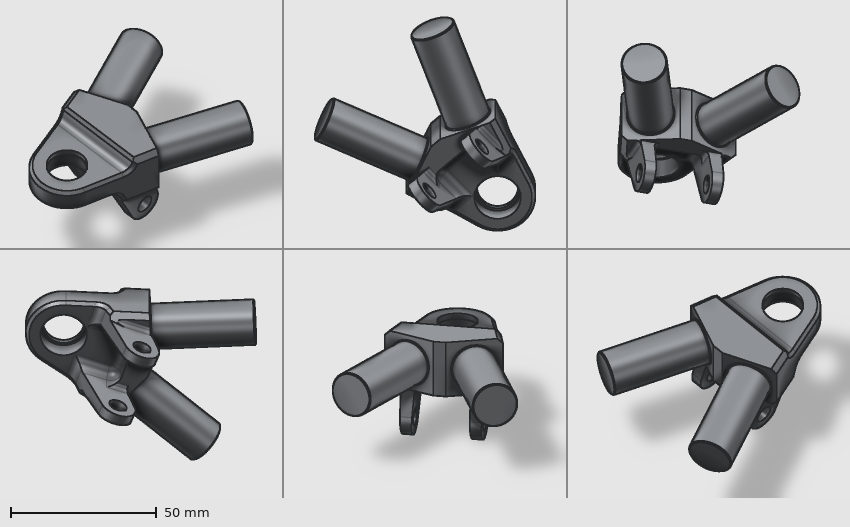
import cadquery as cq
import math

MIRROR_ANGLE = 67.5
PIN_SPREAD = 22.5
EYE_RADIUS = 13.0
EYE_HOLE_RADIUS = 7.0
EYE_LIP_THICKNESS = 2.1
EYE_BORE_RADIUS = 8.0
PIN_RADIUS = 7.9
PIN_END = 65.95
PIN_TIP_CHAMFER = 0.4
PIN_ROOT_FLARE = 0.4
FACE_DISTANCE = 30
FACE_OUTER_WIDTH = 10.0
BACK_FLAT = 31.6

BODY_HALF_HEIGHT = 10.0
BODY_CHAMFER = 2.0
PLATE_TOP = 5.45
PLATE_BOTTOM = -3.5
PLATE_CHAMFER = 1.2
STEP_WALL = 14.9
STEP_FILLET = 3.95

LUG_OFFSET = 12.25
LUG_HALF_THICKNESS = 2.05
LUG_DRAFT = 2
LUG_HOLE_X = 23.5
LUG_HOLE_Z = -21.5
LUG_END_RADIUS = 6.3
LUG_HOLE_RADIUS = 3.15
LUG_FRONT_TILT = 23.5
LUG_REAR_TILT = 18.5
LUG_ROOT_FILLET = 2.0
POCKET_WALL = 23.1
POCKET_FILLET = 3.95

LUG_TOP = -BODY_HALF_HEIGHT + BODY_CHAMFER
FLARE_BOTTOM = -BODY_HALF_HEIGHT - LUG_ROOT_FILLET

OVERSIZE = 47.4


def polar(radius, degrees):
    angle = math.radians(degrees)
    return (radius * math.cos(angle), radius * math.sin(angle))


def mirrored(point):
    return (point[0], -point[1])


def front_x(z):
    """X of the sloped front face of the lugs, tangent to the lug end."""
    tilt = math.radians(LUG_FRONT_TILT)
    return LUG_HOLE_X - LUG_END_RADIUS / math.cos(tilt) - (z - LUG_HOLE_Z) * math.tan(tilt)


def rear_x(z):
    """X of the sloped rear face of the lugs, tangent to the lug end."""
    tilt = math.radians(LUG_REAR_TILT)
    return LUG_HOLE_X + LUG_END_RADIUS / math.cos(tilt) - (z - LUG_HOLE_Z) * math.tan(tilt)


def lug_half_thickness(z):
    return LUG_HALF_THICKNESS + (z - LUG_HOLE_Z) * math.tan(math.radians(LUG_DRAFT))


def plan_block(depth):
    """Teardrop plan (eye, tangent sides, pin faces, back flat) from the body top down to -depth."""
    spread = math.radians(PIN_SPREAD)
    face_x, face_y = polar(FACE_DISTANCE, PIN_SPREAD)
    corner = (
        face_x - FACE_OUTER_WIDTH * math.sin(spread),
        face_y + FACE_OUTER_WIDTH * math.cos(spread),
    )
    flat_end = (BACK_FLAT, face_y - (BACK_FLAT - face_x) / math.tan(spread))
    corner_heading = math.atan2(corner[1], corner[0])
    tangent_turn = math.acos(EYE_RADIUS / math.hypot(*corner))
    tangent = polar(EYE_RADIUS, math.degrees(corner_heading + tangent_turn))
    return (
        cq.Workplane("XY", origin=(0, 0, -depth))
        .moveTo(*tangent)
        .lineTo(*corner)
        .lineTo(*flat_end)
        .lineTo(*mirrored(flat_end))
        .lineTo(*mirrored(corner))
        .lineTo(*mirrored(tangent))
        .threePointArc((-EYE_RADIUS, 0), tangent)
        .close()
        .extrude(BODY_HALF_HEIGHT + depth)
    )


def stepped_profile():
    """Side profile of body and plate, with filleted shoulders above and below the plate."""
    tilt = math.radians(LUG_FRONT_TILT)
    lower_fillet_z = PLATE_BOTTOM - STEP_FILLET
    lower_fillet_x = front_x(lower_fillet_z) - STEP_FILLET / math.cos(tilt)
    slope_end = (
        lower_fillet_x + STEP_FILLET * math.cos(tilt),
        lower_fillet_z + STEP_FILLET * math.sin(tilt),
    )
    mid_angle = math.degrees(math.pi / 2 + tilt) / 2
    mid_x, mid_z = polar(STEP_FILLET, mid_angle)
    lower_mid = (lower_fillet_x + mid_x, lower_fillet_z + mid_z)

    upper_fillet_x = STEP_WALL - STEP_FILLET
    upper_fillet_z = PLATE_TOP + STEP_FILLET
    chamfer_z = BODY_HALF_HEIGHT - PLATE_CHAMFER
    end_drop = upper_fillet_z - chamfer_z
    end_x = upper_fillet_x + math.sqrt(STEP_FILLET**2 - end_drop**2)
    mid_x, mid_z = polar(STEP_FILLET, -45)
    upper_mid = (upper_fillet_x + mid_x, upper_fillet_z + mid_z)
    return (
        cq.Workplane("XZ")
        .moveTo(-OVERSIZE, PLATE_TOP)
        .lineTo(upper_fillet_x, PLATE_TOP)
        .threePointArc(upper_mid, (end_x, chamfer_z))
        .lineTo(end_x + PLATE_CHAMFER, BODY_HALF_HEIGHT)
        .lineTo(OVERSIZE, BODY_HALF_HEIGHT)
        .lineTo(OVERSIZE, -BODY_HALF_HEIGHT)
        .lineTo(front_x(-BODY_HALF_HEIGHT), -BODY_HALF_HEIGHT)
        .lineTo(*slope_end)
        .threePointArc(lower_mid, (lower_fillet_x, PLATE_BOTTOM))
        .lineTo(-OVERSIZE, PLATE_BOTTOM)
        .close()
        .extrude(OVERSIZE, both=True)
    )


def is_plate_rim(edge):
    """True for the edges running round the plate and up the shoulders at the sides."""
    center = edge.Center()
    between_faces = abs(center.z) < BODY_HALF_HEIGHT - PLATE_CHAMFER
    upright = edge.BoundingBox().zlen > 2 * STEP_FILLET
    crosses_part = abs(center.y) < 0.8 and center.x > 0
    return between_faces and not upright and not crosses_part


def is_body_rim(edge):
    """True for the top and bottom edges of the block, apart from those at the pins."""
    center = edge.Center()
    at_face = abs(center.z) > BODY_HALF_HEIGHT - PLATE_CHAMFER
    return at_face and center.x < polar(FACE_DISTANCE, PIN_SPREAD)[0] - FACE_OUTER_WIDTH / 2


def body():
    block = plan_block(BODY_HALF_HEIGHT)
    stepped = block.intersect(stepped_profile())
    stepped = stepped.newObject(
        [edge for edge in stepped.edges().vals() if is_plate_rim(edge)]
    ).chamfer(PLATE_CHAMFER)
    block_rim = [edge for edge in block.edges().vals() if is_body_rim(edge)]
    return stepped.intersect(block.newObject(block_rim).chamfer(BODY_CHAMFER))


def lug_outline():
    """Tapering side outline of the lugs with a round end, as wide as the part."""
    front_z = LUG_HOLE_Z - LUG_END_RADIUS * math.sin(math.radians(LUG_FRONT_TILT))
    rear_z = LUG_HOLE_Z + LUG_END_RADIUS * math.sin(math.radians(LUG_REAR_TILT))
    return (
        cq.Workplane("XZ")
        .moveTo(front_x(LUG_TOP), LUG_TOP)
        .lineTo(rear_x(LUG_TOP), LUG_TOP)
        .lineTo(rear_x(rear_z), rear_z)
        .threePointArc((LUG_HOLE_X, LUG_HOLE_Z - LUG_END_RADIUS), (front_x(front_z), front_z))
        .close()
        .extrude(OVERSIZE, both=True)
    )


def lug_core(side):
    """Drafted cross-section of one lug."""
    tip = LUG_HOLE_Z - LUG_END_RADIUS
    tip_half = lug_half_thickness(tip)
    top_half = lug_half_thickness(LUG_TOP)
    return (
        cq.Workplane("YZ")
        .center(side * LUG_OFFSET, 0)
        .polyline([(-tip_half, tip), (tip_half, tip), (top_half, LUG_TOP), (-top_half, LUG_TOP)])
        .close()
        .extrude(OVERSIZE)
    )


def lug_root(side):
    """Concave fillets on both faces of a lug where it meets the underside of the body."""
    root_half = lug_half_thickness(FLARE_BOTTOM)
    flare_half = root_half + LUG_ROOT_FILLET
    mid_half = root_half + LUG_ROOT_FILLET * (1 - math.sqrt(0.5))
    mid_z = FLARE_BOTTOM + LUG_ROOT_FILLET * math.sqrt(0.5)
    return (
        cq.Workplane("YZ")
        .center(side * LUG_OFFSET, 0)
        .moveTo(-root_half, FLARE_BOTTOM)
        .lineTo(root_half, FLARE_BOTTOM)
        .threePointArc((mid_half, mid_z), (flare_half, -BODY_HALF_HEIGHT))
        .lineTo(-flare_half, -BODY_HALF_HEIGHT)
        .threePointArc((-mid_half, mid_z), (-root_half, FLARE_BOTTOM))
        .close()
        .extrude(OVERSIZE)
    )


def root_limit():
    """Deepened plan block whose rim chamfer carries the body chamfer down past the lug roots."""
    block = plan_block(-FLARE_BOTTOM)
    lower_rim = [edge for edge in block.faces("<Z").edges().vals() if is_body_rim(edge)]
    return block.newObject(lower_rim).chamfer(BODY_CHAMFER + LUG_ROOT_FILLET)


def lug(side):
    outline = lug_outline()
    root = lug_root(side).intersect(outline).intersect(root_limit())
    return lug_core(side).intersect(outline).union(root)


def lug_holes():
    return (
        cq.Workplane("XZ", origin=(0, OVERSIZE, 0))
        .center(LUG_HOLE_X, LUG_HOLE_Z)
        .circle(LUG_HOLE_RADIUS)
        .extrude(2 * OVERSIZE)
    )


def pocket():
    """Round-cornered space between the lugs, its sides following the lug draft."""
    bottom = LUG_HOLE_Z - LUG_END_RADIUS
    top_half = LUG_OFFSET - lug_half_thickness(PLATE_BOTTOM)
    bottom_half = LUG_OFFSET - lug_half_thickness(bottom)
    return (
        cq.Workplane("YZ", origin=(POCKET_WALL - OVERSIZE, 0, 0))
        .polyline([
            (-bottom_half, bottom),
            (bottom_half, bottom),
            (top_half, PLATE_BOTTOM),
            (-top_half, PLATE_BOTTOM),
        ])
        .close()
        .extrude(OVERSIZE)
        .faces(">X or >Z")
        .edges("not(<Z or <X)")
        .fillet(POCKET_FILLET)
    )


def pin(side):
    """Round pin with a small flare at its root and a chamfered tip."""
    shaft = (
        cq.Workplane("XY")
        .moveTo(FACE_DISTANCE - BODY_CHAMFER, 0)
        .lineTo(FACE_DISTANCE - BODY_CHAMFER, PIN_RADIUS + PIN_ROOT_FLARE)
        .lineTo(FACE_DISTANCE, PIN_RADIUS + PIN_ROOT_FLARE)
        .lineTo(FACE_DISTANCE + PIN_ROOT_FLARE, PIN_RADIUS)
        .lineTo(PIN_END - PIN_TIP_CHAMFER, PIN_RADIUS)
        .lineTo(PIN_END, PIN_RADIUS - PIN_TIP_CHAMFER)
        .lineTo(PIN_END, 0)
        .close()
        .revolve(360, (0, 0, 0), (1, 0, 0))
    )
    return shaft.rotate((0, 0, 0), (0, 0, 1), side * PIN_SPREAD)


def eye_bore():
    """Through hole of the eye, opened wider from below up to the lip."""
    hole = cq.Workplane("XY", origin=(0, 0, -OVERSIZE)).circle(EYE_HOLE_RADIUS).extrude(2 * OVERSIZE)
    lip_bottom = PLATE_TOP - EYE_LIP_THICKNESS
    bore = cq.Workplane("XY", origin=(0, 0, lip_bottom)).circle(EYE_BORE_RADIUS).extrude(-OVERSIZE)
    return hole.union(bore)


part = body()
for side in (-1, 1):
    part = part.union(lug(side))
part = part.cut(pocket()).cut(lug_holes())
for side in (-1, 1):
    part = part.union(pin(side))
part = part.cut(eye_bore())

result = part.rotate((0, 0, 0), (0, 0, 1), MIRROR_ANGLE)